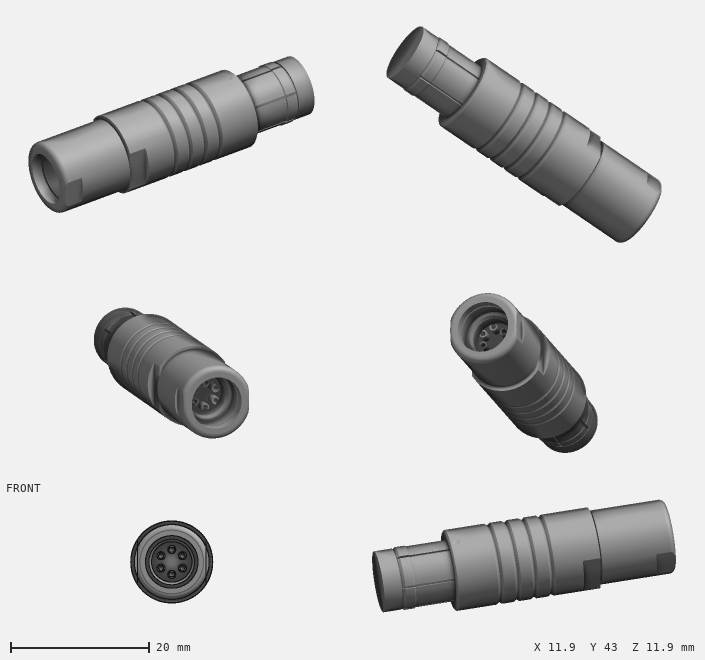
import cadquery as cq

LENGTH = 43.0

SHELL_DIAMETER = 11.85
SHELL_REAR = 11.22
SHELL_FRONT = 32.55
SHELL_CHAMFER = 0.2
GRIP_GROOVE_WIDTH = 0.85
GRIP_GROOVE_FLOOR_DIAMETER = 11.2
GRIP_GROOVE_COUNT = 4
GRIP_GROOVE_PITCH = 2.55
REAR_GRIP_GROOVE = 18.45
SHELL_FLAT_FRONT = 13.85
ACROSS_FLATS = 9.98
TAIL_DIAMETER = 9.75
CABLE_BORE_DIAMETER = 7.6

MARK_POSITION = 31.45
MARK_DEPTH = 0.075
MARK_SPHERE_RADIUS = 1.9

NUT_DIAMETER = 10.85
NUT_GAP = 0.25
NUT_FRONT = SHELL_REAR - NUT_GAP
NUT_END_FILLET = 0.8
NUT_LIP = 1.6
NUT_FLAT_LENGTH = 2.95

CORE_REAR = 4.4
CORE_SHOULDER = 30.1
CORE_NECK_DIAMETER = 8.4
FRONT_RING_DIAMETER = 8.95
FRONT_RING_LENGTH = 2.62
CORE_MOUTH_DIAMETER = 6.62
INSERT_DIAMETER = 5.85

LATCH_DIAMETER = FRONT_RING_DIAMETER
LATCH_COLLAR_DIAMETER = 9.2
LATCH_COLLAR_REAR = 38.35
LATCH_COLLAR_FRONT = 39.85
LATCH_FRONT_DIAMETER = 8.7
LATCH_FRONT = 40.25
SLOT_COUNT = 6
SLOT_WIDTH = 0.4

INSERT_REAR = 6.9
CUP_COUNT = 6
CUP_CIRCLE_RADIUS = 1.8
CUP_DIAMETER = 1.15
CUP_BORE_DIAMETER = 0.77
CUP_LENGTH = 1.7
CUP_FLOOR = 0.17
CUP_CONE_DEPTH = 0.4
CUP_OPENING_LENGTH = 1.3
CUP_OPENING_OFFSET = 0.3


def revolve_profile(points):
    """Solid of revolution about Y from (radius, y) points."""
    return cq.Workplane("XY").polyline(points).close().revolve(360, (0, 0, 0), (0, 1, 0))


def cylinder(diameter, rear, front):
    """Solid cylinder on the main axis between two Y positions."""
    return cq.Workplane("XZ", origin=(0, rear, 0)).circle(diameter / 2).extrude(rear - front)


def cut_flats(body, rear, front):
    """Cut two parallel wrench flats, facing -X and +X, between two Y positions."""
    flat_depth = SHELL_DIAMETER
    for side in (-1, 1):
        centre_x = side * (ACROSS_FLATS + flat_depth) / 2
        cutter = cq.Workplane("XY").box(flat_depth, front - rear, 2 * SHELL_DIAMETER)
        body = body.cut(cutter.translate((centre_x, (rear + front) / 2, 0)))
    return body


def grip_groove(centre):
    """Ring with a V section that cuts one grip groove."""
    surface = SHELL_DIAMETER / 2
    floor = GRIP_GROOVE_FLOOR_DIAMETER / 2
    half_width = GRIP_GROOVE_WIDTH / 2
    return revolve_profile([
        (surface, centre - half_width),
        (floor, centre),
        (surface, centre + half_width),
    ])


def make_shell():
    tail_rear = NUT_LIP + NUT_GAP
    shell = cylinder(SHELL_DIAMETER, SHELL_REAR, SHELL_FRONT).faces(">Y").chamfer(SHELL_CHAMFER)
    shell = cut_flats(shell, SHELL_REAR, SHELL_FLAT_FRONT)
    shell = shell.union(cylinder(TAIL_DIAMETER, tail_rear, SHELL_REAR))
    shell = shell.cut(cylinder(CABLE_BORE_DIAMETER, tail_rear, CORE_SHOULDER))
    shell = shell.cut(cylinder(LATCH_DIAMETER, CORE_SHOULDER, SHELL_FRONT))
    for index in range(GRIP_GROOVE_COUNT):
        shell = shell.cut(grip_groove(REAR_GRIP_GROOVE + index * GRIP_GROOVE_PITCH))
    mark_height = SHELL_DIAMETER / 2 - MARK_DEPTH + MARK_SPHERE_RADIUS
    mark = cq.Workplane("XY").sphere(MARK_SPHERE_RADIUS)
    return shell.cut(mark.translate((0, MARK_POSITION, mark_height)))


def make_nut():
    nut = cylinder(NUT_DIAMETER, 0, NUT_FRONT).faces("<Y").edges().fillet(NUT_END_FILLET)
    nut = nut.cut(cylinder(CABLE_BORE_DIAMETER, 0, NUT_LIP))
    nut = nut.cut(cylinder(TAIL_DIAMETER, NUT_LIP, NUT_FRONT))
    return cut_flats(nut, 0, NUT_FLAT_LENGTH)


def make_core():
    body_radius = CABLE_BORE_DIAMETER / 2
    neck_radius = CORE_NECK_DIAMETER / 2
    ring_radius = FRONT_RING_DIAMETER / 2
    mouth_radius = CORE_MOUTH_DIAMETER / 2
    insert_radius = INSERT_DIAMETER / 2
    ring_rear = LENGTH - FRONT_RING_LENGTH
    mouth_end = CORE_REAR + mouth_radius - insert_radius
    return revolve_profile([
        (mouth_radius, CORE_REAR),
        (body_radius, CORE_REAR),
        (body_radius, CORE_SHOULDER),
        (neck_radius, CORE_SHOULDER),
        (neck_radius, ring_rear),
        (ring_radius, ring_rear),
        (ring_radius, LENGTH),
        (insert_radius, LENGTH),
        (insert_radius, mouth_end),
    ])


def make_latch_sleeve():
    inner = CORE_NECK_DIAMETER / 2
    outer = LATCH_DIAMETER / 2
    collar = LATCH_COLLAR_DIAMETER / 2
    sleeve = revolve_profile([
        (inner, CORE_SHOULDER),
        (outer, CORE_SHOULDER),
        (outer, LATCH_COLLAR_REAR),
        (collar, LATCH_COLLAR_REAR + collar - outer),
        (collar, LATCH_COLLAR_FRONT),
        (LATCH_FRONT_DIAMETER / 2, LATCH_FRONT),
        (inner, LATCH_FRONT),
    ])
    slot_length = LATCH_FRONT - SHELL_FRONT
    slot_middle = (LATCH_FRONT + SHELL_FRONT) / 2
    slot = cq.Workplane("XY").box(SLOT_WIDTH, slot_length, collar).translate((0, slot_middle, collar))
    for index in range(SLOT_COUNT):
        sleeve = sleeve.cut(slot.rotate((0, 0, 0), (0, 1, 0), index * 360 / SLOT_COUNT))
    return sleeve


def solder_cup():
    """Cup in its place along +X, with the outer side of its wall cut away near the open end."""
    radius = CUP_DIAMETER / 2
    bore_radius = CUP_BORE_DIAMETER / 2
    cup_rear = INSERT_REAR - CUP_LENGTH
    cup = revolve_profile([
        (bore_radius, cup_rear),
        (radius, cup_rear),
        (radius, INSERT_REAR),
        (0, INSERT_REAR),
        (0, INSERT_REAR - CUP_FLOOR),
        (bore_radius, INSERT_REAR - CUP_FLOOR - CUP_CONE_DEPTH),
    ])
    opening = cq.Workplane("XY").box(CUP_DIAMETER, CUP_OPENING_LENGTH, CUP_DIAMETER)
    opening_x = CUP_OPENING_OFFSET + CUP_DIAMETER / 2
    cup = cup.cut(opening.translate((opening_x, cup_rear + CUP_OPENING_LENGTH / 2, 0)))
    return cup.translate((CUP_CIRCLE_RADIUS, 0, 0))


def make_insert():
    insert = cylinder(INSERT_DIAMETER, INSERT_REAR, LENGTH)
    for index in range(CUP_COUNT):
        angle = 90 + index * 360 / CUP_COUNT
        insert = insert.union(solder_cup().rotate((0, 0, 0), (0, 1, 0), angle))
    return insert


shell = make_shell()
nut = make_nut()
core = make_core()
latch_sleeve = make_latch_sleeve()
insert = make_insert()

result = cq.Compound.makeCompound([
    shell.val(),
    nut.val(),
    core.val(),
    latch_sleeve.val(),
    insert.val(),
])